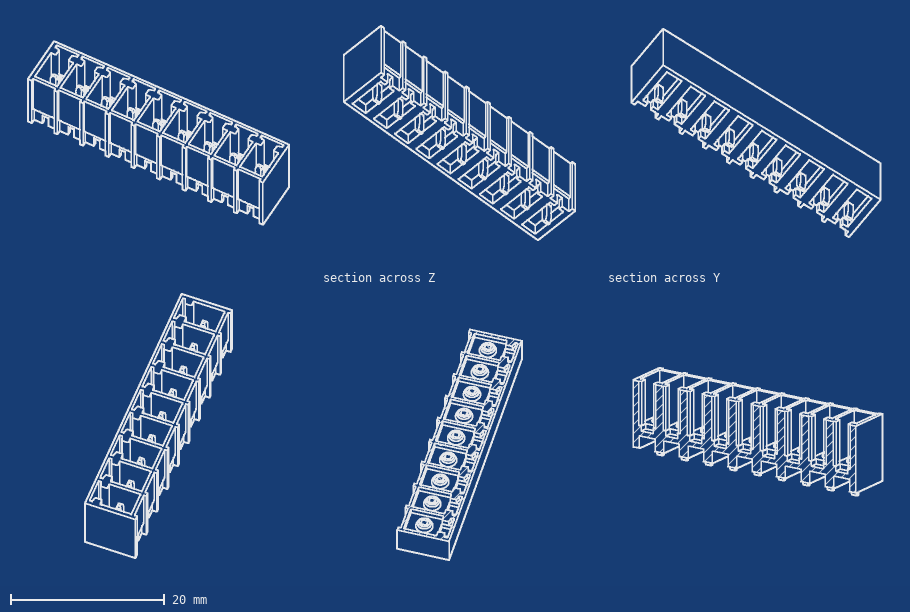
import cadquery as cq
import math


LENGTH = 34.98
DEPTH = 7.05
HEIGHT = 9.2

BAY_COUNT = 9
PITCH = 3.8
LEFT_WALL = 0.6
BAY_WIDTH = 3.32
FIRST_BAY_X = LEFT_WALL + BAY_WIDTH / 2
BAY_CENTRES = [FIRST_BAY_X + i * PITCH for i in range(BAY_COUNT)]

PANEL_SETBACK = 0.35
FOOT_SETBACK = 0.63
PANEL_BOTTOM = 2.65
FOOT_TOP = 2.45

FRONT_WALL = 0.45
POCKET_FRONT = PANEL_SETBACK + FRONT_WALL
POCKET_DEPTH = 4.37
POCKET_BACK = POCKET_FRONT + POCKET_DEPTH
POCKET_FLOOR = 3.15

BACK_WALL = 0.42
KEY_BACK = DEPTH - BACK_WALL
KEY_NECK_WIDTH = 1.9
KEY_HEAD_WIDTH = 3.25
KEY_HEAD_END = 0.35
KEY_HEAD_DEPTH = 0.55
KEY_MOUTH_RADIUS = 0.15

WELL_WIDTH = 1.82
WELL_GAP = 0.1
WELL_BACK = KEY_BACK - WELL_GAP
WELL_DROP = 0.7

CAVITY_HEIGHT = 1.68
CAVITY_WALL = 0.55
CAVITY_WIDTH = 2.38
CAVITY_FRONT = FOOT_SETBACK + CAVITY_WALL
CAVITY_BACK = DEPTH - CAVITY_WALL
NOTCH_WIDTH = 0.87

BOSS_BASE_RADIUS = 1.12
BOSS_SHOULDER_RADIUS = 0.9
BOSS_TOP_RADIUS = 0.7
BOSS_SHOULDER_HEIGHT = 0.5
BOSS_HEIGHT = 0.7

PIN_SIZE = 0.8
PIN_Y = 3.08
PIN_TOP = 7.85
PIN_BOTTOM = -1.5
TIP_LENGTH = 1.1
TIP_FLAT = 0.3
TIP_BULGE = 0.07
TOP_BEVEL_WIDTH = 0.2
TOP_BEVEL_LENGTH = 0.35


def block(x_centre, width, y_front, y_back, z_bottom, z_top):
    """Box centred on x_centre and spanning the given Y and Z limits."""
    size = (width, y_back - y_front, z_top - z_bottom)
    corner = (x_centre - width / 2, y_front, z_bottom)
    return cq.Workplane("XY").box(*size, centered=False).translate(corner)


def front_recess(x):
    """Recess between two ribs, deepening over a bevel to the foot."""
    return (
        cq.Workplane("YZ")
        .workplane(offset=x - BAY_WIDTH / 2)
        .polyline([
            (0, 0),
            (FOOT_SETBACK, 0),
            (FOOT_SETBACK, FOOT_TOP),
            (PANEL_SETBACK, PANEL_BOTTOM),
            (PANEL_SETBACK, HEIGHT),
            (0, HEIGHT),
        ])
        .close()
        .extrude(BAY_WIDTH)
    )


def keyway(x):
    """T slot with sloping shoulders, opening into the back of the pocket through a flared mouth."""
    mouth_y = POCKET_BACK + KEY_MOUTH_RADIUS
    arc_rise = KEY_MOUTH_RADIUS * math.sqrt(0.5)
    neck = KEY_NECK_WIDTH / 2
    mouth = neck + KEY_MOUTH_RADIUS
    head = KEY_HEAD_WIDTH / 2
    head_end_y = KEY_BACK - KEY_HEAD_END
    shoulder_y = KEY_BACK - KEY_HEAD_DEPTH
    return (
        cq.Workplane("XY", origin=(x, 0, POCKET_FLOOR))
        .moveTo(-mouth, POCKET_BACK)
        .lineTo(mouth, POCKET_BACK)
        .threePointArc((mouth - arc_rise, mouth_y - arc_rise), (neck, mouth_y))
        .lineTo(neck, shoulder_y)
        .lineTo(head, head_end_y)
        .lineTo(head, KEY_BACK)
        .lineTo(-head, KEY_BACK)
        .lineTo(-head, head_end_y)
        .lineTo(-neck, shoulder_y)
        .lineTo(-neck, mouth_y)
        .threePointArc((arc_rise - mouth, mouth_y - arc_rise), (-mouth, POCKET_BACK))
        .close()
        .extrude(HEIGHT - POCKET_FLOOR)
    )


def boss(x):
    """Low round boss that narrows in two cones to a flat top."""
    return (
        cq.Workplane("XZ", origin=(x, PIN_Y, POCKET_FLOOR))
        .polyline([
            (0, 0),
            (BOSS_BASE_RADIUS, 0),
            (BOSS_SHOULDER_RADIUS, BOSS_SHOULDER_HEIGHT),
            (BOSS_TOP_RADIUS, BOSS_HEIGHT),
            (0, BOSS_HEIGHT),
        ])
        .close()
        .revolve(360, (0, 0, 0), (0, 1, 0))
    )


def pin_hole(x):
    """Square hole that the pin fills."""
    half = PIN_SIZE / 2
    return block(x, PIN_SIZE, PIN_Y - half, PIN_Y + half, 0, HEIGHT)


def make_housing():
    housing = cq.Workplane("XY").box(LENGTH, DEPTH, HEIGHT, centered=False)
    for x in BAY_CENTRES:
        pocket = block(x, BAY_WIDTH, POCKET_FRONT, POCKET_BACK, POCKET_FLOOR, HEIGHT)
        well = block(x, WELL_WIDTH, POCKET_BACK, WELL_BACK, POCKET_FLOOR - WELL_DROP, POCKET_FLOOR)
        cavity = block(x, CAVITY_WIDTH, CAVITY_FRONT, CAVITY_BACK, 0, CAVITY_HEIGHT)
        notch = block(x, NOTCH_WIDTH, FOOT_SETBACK, CAVITY_FRONT, 0, CAVITY_HEIGHT)
        housing = housing.cut(front_recess(x))
        housing = housing.cut(pocket).cut(keyway(x)).cut(well)
        housing = housing.cut(cavity).cut(notch)
        housing = housing.union(boss(x)).cut(pin_hole(x))
    return housing


def make_pin(x):
    """Square pin whose two ends narrow front and back along arcs to a small flat."""
    half = PIN_SIZE / 2
    flat = TIP_FLAT / 2
    mid_y = (half + flat) / 2 + TIP_BULGE
    mid_drop = TIP_LENGTH / 2
    top_start = PIN_TOP - TIP_LENGTH
    bottom_start = PIN_BOTTOM + TIP_LENGTH
    profile = (
        cq.Workplane("YZ", origin=(x - half, PIN_Y, 0))
        .moveTo(half, bottom_start)
        .lineTo(half, top_start)
        .threePointArc((mid_y, top_start + mid_drop), (flat, PIN_TOP))
        .lineTo(-flat, PIN_TOP)
        .threePointArc((-mid_y, top_start + mid_drop), (-half, top_start))
        .lineTo(-half, bottom_start)
        .threePointArc((-mid_y, bottom_start - mid_drop), (-flat, PIN_BOTTOM))
        .lineTo(flat, PIN_BOTTOM)
        .threePointArc((mid_y, bottom_start - mid_drop), (half, bottom_start))
        .close()
    )
    pin = profile.extrude(PIN_SIZE)
    for side in (-1, 1):
        bevel = (
            cq.Workplane("XZ", origin=(x, PIN_Y + half, 0))
            .polyline([
                (side * half, PIN_TOP),
                (side * half, PIN_TOP - TOP_BEVEL_LENGTH),
                (side * (half - TOP_BEVEL_WIDTH), PIN_TOP),
            ])
            .close()
            .extrude(PIN_SIZE)
        )
        pin = pin.cut(bevel)
    return pin


housing = make_housing()
pins = [make_pin(x) for x in BAY_CENTRES]

result = cq.Compound.makeCompound([housing.val(), *[pin.val() for pin in pins]])